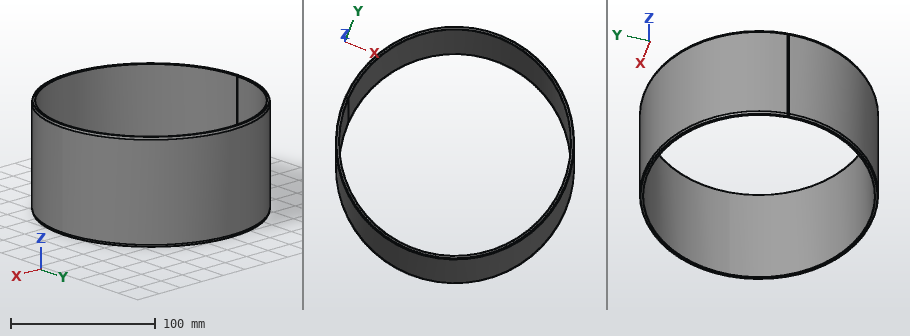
import cadquery as cq

outer_diameter = 165.0
wall = 2.5
height = 80.0
gap_width = 1.3
outer_bevel_height = 1.8
outer_bevel_depth = 0.7
inner_bevel = 0.3

outer_radius = outer_diameter / 2
inner_radius = outer_radius - wall
half_height = height / 2

wall_section = [
    (inner_radius + inner_bevel, -half_height),
    (outer_radius - outer_bevel_depth, -half_height),
    (outer_radius, -half_height + outer_bevel_height),
    (outer_radius, half_height - outer_bevel_height),
    (outer_radius - outer_bevel_depth, half_height),
    (inner_radius + inner_bevel, half_height),
    (inner_radius, half_height - inner_bevel),
    (inner_radius, -half_height + inner_bevel),
]
tube = cq.Workplane("XZ").polyline(wall_section).close().revolve(360, (0, 0), (0, 1))

gap_cutter = cq.Workplane("XY").box(2 * wall, gap_width, height).translate((-inner_radius, gap_width / 2, 0))

result = tube.cut(gap_cutter)